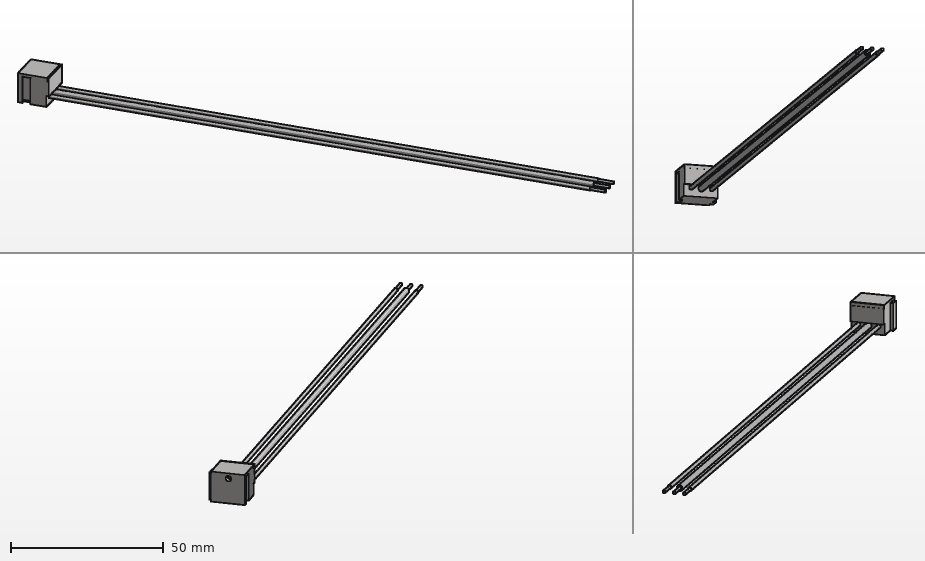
import cadquery as cq

total_length = 206.5
total_width = 12.5
housing_height = 10.5

key_depth = 1.0
key_root_width = 2.7
key_flare = 0.3
key_start = 1.7
key_height = 9.5
foot_relief_depth = 0.2
foot_relief_height = 0.6

housing_width = total_width - key_depth
base_length = 10.1
lip_length = 11.0
lip_bottom = 4.0

groove_start = 10.3
groove_width = 0.2
groove_depth = 1.2

hole_diameter = 1.9
hole_depth = 2.0
hole_y = -0.2
hole_z = 8.7

middle_wire_diameter = 2.0
outer_wire_diameter = 1.35
core_diameter = 1.0
wire_pitch = 3.5
middle_wire_y = 0.2
wire_z = 2.9
stripped_length = 5.4


def make_block():
    profile = [
        (0, 0),
        (base_length, 0),
        (base_length, lip_bottom),
        (lip_length, lip_bottom),
        (lip_length, housing_height),
        (0, housing_height),
    ]
    return cq.Workplane("XZ").polyline(profile).close().extrude(housing_width / 2, both=True)


def make_dovetail(root_y):
    """Dovetail prism that widens from root_y toward +Y."""
    key_end = key_start + key_root_width
    tip_y = root_y + key_depth
    outline = [
        (key_start, root_y),
        (key_end, root_y),
        (key_end + key_flare, tip_y),
        (key_start - key_flare, tip_y),
    ]
    return cq.Workplane("XY").polyline(outline).close().extrude(key_height)


def make_foot_relief():
    """Slightly deeper stretch at the bottom end of the slot."""
    relief = cq.Workplane("XY").box(
        key_root_width, key_depth + foot_relief_depth, foot_relief_height, centered=False
    )
    return relief.translate((key_start, -housing_width / 2, 0))


def make_groove():
    groove = cq.Workplane("XY").box(
        groove_width, housing_width, groove_depth, centered=(False, True, False)
    )
    return groove.translate((groove_start, 0, housing_height - groove_depth))


def make_hole():
    return cq.Workplane("YZ").center(hole_y, hole_z).circle(hole_diameter / 2).extrude(hole_depth)


def make_housing():
    key = make_dovetail(housing_width / 2)
    slot = make_dovetail(-housing_width / 2)
    body = make_block().union(key)
    for cutter in (slot, make_foot_relief(), make_groove(), make_hole()):
        body = body.cut(cutter)
    return body


def make_wire(y, diameter):
    """Insulated wire that starts at the housing's +X face below the lip."""

    def rod(rod_diameter, end_x):
        start = cq.Workplane("YZ", origin=(base_length, y, wire_z))
        return start.circle(rod_diameter / 2).extrude(end_x - base_length)

    insulation = rod(diameter, total_length - stripped_length)
    core = rod(core_diameter, total_length)
    return insulation.union(core)


housing = make_housing()

wires = []
for place in (-1, 0, 1):
    wire_diameter = middle_wire_diameter if place == 0 else outer_wire_diameter
    wire = make_wire(middle_wire_y + place * wire_pitch, wire_diameter)
    wires.append(wire.val())

result = cq.Compound.makeCompound([housing.val(), *wires])